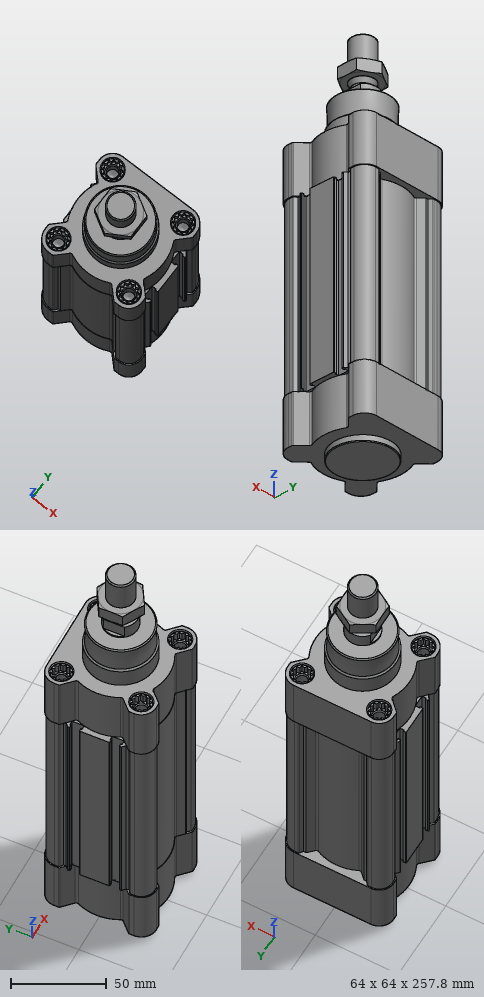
import cadquery as cq
import math


body_length = 186.0
cap_length = 33.0
tube_length = body_length - 2 * cap_length
spigot_length = 4.0
rod_top = 67.8
thread_length = 32.0
thread_bottom = rod_top - thread_length
nut_height = 8.0
nut_setback = 18.0
nut_top = rod_top - nut_setback
guide_height = 11.2
collar_top = 27.4
flat_bottom = 28.3

cap_width = 64.0
screw_spacing = 46.5
cap_half = cap_width / 2
boss_radius = (cap_width - screw_spacing) / 2
barrel_radius = 28.25
boss_flat_end = 20.2
boss_edge_fillet = 1.0
barrel_fillet = 1.5

recess_mouth_diameter = 13.2
recess_diameter = 12.0
socket_root_diameter = 11.45
socket_tip_diameter = 9.0
socket_teeth = 12
thread_mouth_diameter = 8.0
thread_core_diameter = 6.65
recess_mouth_depth = (recess_mouth_diameter - recess_diameter) / 2
recess_depth = 1.0
socket_depth = 6.0
screw_thread_depth = 16.0
drill_point_angle = 118.0

tube_half = 31.3
tube_boss_radius = tube_half - screw_spacing / 2
tube_setback = 0.2
tube_barrel_radius = barrel_radius - tube_setback
ledge_outer = 20.6
ledge_inner = 19.0
ledge_end = 17.4
ledge_level = 29.1
tube_boss_fillet = 0.8
lip_edge = 15.6
slot_center = 11.65
slot_opening = 5.5
slot_inner_width = 7.0
slot_lip = 1.8
slot_chamfer = 0.4
slot_floor = 27.0

guide_diameter = 40.0
guide_chamfer = 1.0
collar_diameter = 38.0
collar_waist = 0.4
collar_chamfer = 0.75
spigot_chamfer = 0.5

rod_diameter = 20.0
rod_flat_width = 16.0
thread_diameter = 16.0
thread_tip_diameter = 14.38
neck_diameter = 13.2
neck_foot_diameter = 14.6
neck_setback = 26.2
neck_cone_length = 3.2
neck_cone_top = rod_top - neck_setback
neck_cone_bottom = neck_cone_top - neck_cone_length
nut_width = 24.0
nut_chamfer_angle = 13.0


def prism(points, length):
    return cq.Workplane("XY").polyline(points).close().extrude(length)


def turned(shape, angle):
    return shape.rotate((0, 0, 0), (0, 0, 1), angle)


def rounded_square(half, corner_radius, length):
    block = cq.Workplane("XY").rect(2 * half, 2 * half).extrude(length)
    return block.edges("|Z").fillet(corner_radius)


def barrel_recess(right_side, radius, length):
    """Space between two bosses on the -Y side, outside the round barrel.

    The last point of right_side starts a 45 degree diagonal, which runs to the middle plane.
    """
    last_x, last_y = right_side[-1]
    right_half = right_side + [(0, last_y + last_x)]
    left_half = [(-x, y) for x, y in reversed(right_side)]
    barrel = cq.Workplane("XY").circle(radius).extrude(length)
    recess = prism(right_half + left_half, length).cut(barrel)
    barrel_corners = recess.edges("|Z").filter(lambda edge: edge.Center().y > -radius)
    return barrel_corners.fillet(barrel_fillet)


def fillet_boss_edges(shape, half, flat_end, radius):
    """Rounds the upright edges where the flat boss faces end."""

    def is_flat_end(edge):
        center = edge.Center()
        across, out = sorted((abs(center.x), abs(center.y)))
        return math.isclose(across, flat_end) and math.isclose(out, half)

    return shape.edges("|Z").filter(is_flat_end).fillet(radius)


def end_cap():
    """Square cap, flat on +Y and recessed between its bosses on the other three sides."""
    cap = rounded_square(cap_half, boss_radius, cap_length)
    recess = barrel_recess([(boss_flat_end, -cap_half)], barrel_radius, cap_length)
    for angle in (-90, 0, 90):
        cap = cap.cut(turned(recess, angle))
    return fillet_boss_edges(cap, cap_half, boss_flat_end, boss_edge_fillet)


def sensor_slot():
    """T-slot for sensors, on the right half of the -Y side."""
    lip_bottom = tube_half - slot_lip
    right_half = [
        (slot_opening / 2 + slot_chamfer, -tube_half),
        (slot_opening / 2, -tube_half + slot_chamfer),
        (slot_opening / 2, -lip_bottom),
        (slot_inner_width / 2, -lip_bottom),
        (slot_inner_width / 2, -slot_floor),
    ]
    left_half = [(-x, y) for x, y in reversed(right_half)]
    return prism(right_half + left_half, tube_length).translate((slot_center, 0, 0))


def tube():
    """Profile with a round barrel on the Y sides, and grooves and sensor slots on the X sides."""
    body = rounded_square(tube_half, tube_boss_radius, tube_length)
    boss_side = [(ledge_outer, -tube_half), (ledge_inner, -ledge_level)]
    recess = barrel_recess(boss_side + [(ledge_end, -ledge_level)], tube_barrel_radius, tube_length)
    for angle in (0, 180):
        body = body.cut(turned(recess, angle))

    lip_foot_level = tube_half - (ledge_end - lip_edge)
    groove = prism(boss_side + [(ledge_end, -lip_foot_level), (lip_edge, -tube_half)], tube_length)
    for cutter in (groove, sensor_slot()):
        for angle in (-90, 90):
            side_cutter = turned(cutter, angle)
            body = body.cut(side_cutter).cut(side_cutter.mirror("XZ"))
    return fillet_boss_edges(body, tube_half, ledge_outer, tube_boss_fillet)


def guide_and_collar():
    """Round guide with a slightly waisted collar, rooted inside the upper cap."""
    guide_radius = guide_diameter / 2
    collar_radius = collar_diameter / 2
    collar_bottom = guide_height + guide_chamfer
    collar_edge = collar_top - collar_chamfer
    profile = (
        cq.Workplane("XZ")
        .moveTo(0, -cap_length / 2)
        .lineTo(guide_radius, -cap_length / 2)
        .lineTo(guide_radius, guide_height)
        .lineTo(guide_radius - guide_chamfer, collar_bottom)
        .threePointArc(
            (collar_radius - collar_waist, (collar_bottom + collar_edge) / 2),
            (collar_radius, collar_edge),
        )
        .lineTo(collar_radius - collar_chamfer, collar_top)
        .lineTo(0, collar_top)
        .close()
    )
    return profile.revolve(360, (0, 0, 0), (0, 1, 0))


def tooth_point(step):
    """Corner of the toothed socket; even steps are roots and odd steps are tooth tips."""
    radius = (socket_tip_diameter if step % 2 else socket_root_diameter) / 2
    angle = math.pi * step / socket_teeth
    return (radius * math.cos(angle), radius * math.sin(angle))


def screw_recess():
    """Screw recess with a toothed socket and a drilled thread hole, cut down from z = 0."""
    core_radius = thread_core_diameter / 2
    mouth_radius = thread_mouth_diameter / 2
    point_depth = core_radius / math.tan(math.radians(drill_point_angle / 2))
    points = [
        (0, 0),
        (recess_mouth_diameter / 2, 0),
        (recess_diameter / 2, -recess_mouth_depth),
        (recess_diameter / 2, -recess_depth),
        (mouth_radius, -recess_depth),
        (mouth_radius, -socket_depth),
        (core_radius, -socket_depth - (mouth_radius - core_radius)),
        (core_radius, -screw_thread_depth),
        (0, -screw_thread_depth - point_depth),
    ]
    bore = cq.Workplane("XZ").polyline(points).close().revolve(360, (0, 0, 0), (0, 1, 0))
    socket = prism([tooth_point(step) for step in range(2 * socket_teeth)], socket_depth)
    return bore.union(socket.translate((0, 0, -socket_depth)))


def make_housing():
    """Caps, tube, collar and spigot in one solid, with screw recesses and a blind rod bore."""
    housing = tube().translate((0, 0, -cap_length - tube_length))
    for cap_bottom in (-cap_length, -body_length):
        housing = housing.union(end_cap().translate((0, 0, cap_bottom)))
    housing = housing.union(guide_and_collar())
    spigot = cq.Workplane("XY").workplane(offset=-body_length - spigot_length)
    spigot = spigot.circle(guide_diameter / 2).extrude(spigot_length)
    housing = housing.union(spigot.faces("<Z").chamfer(spigot_chamfer))
    for x in (-screw_spacing / 2, screw_spacing / 2):
        for y in (-screw_spacing / 2, screw_spacing / 2):
            housing = housing.cut(screw_recess().translate((x, y, 0)))
    rod_bore = cq.Workplane("XY").workplane(offset=-cap_length).circle(rod_diameter / 2)
    return housing.cut(rod_bore.extrude(cap_length + collar_top))


def make_rod():
    """Piston rod with wrench flats, a neck and a plain threaded end."""
    rod_radius = rod_diameter / 2
    thread_radius = thread_diameter / 2
    tip_radius = thread_tip_diameter / 2
    neck_radius = neck_diameter / 2
    foot_radius = neck_foot_diameter / 2
    points = [
        (0, -cap_length),
        (rod_radius, -cap_length),
        (rod_radius, thread_bottom),
        (foot_radius, thread_bottom),
        (neck_radius, thread_bottom + foot_radius - neck_radius),
        (neck_radius, neck_cone_bottom),
        (thread_radius, neck_cone_top),
        (thread_radius, rod_top - (thread_radius - tip_radius)),
        (tip_radius, rod_top),
        (0, rod_top),
    ]
    rod = cq.Workplane("XZ").polyline(points).close().revolve(360, (0, 0, 0), (0, 1, 0))
    flat_depth = rod_radius - rod_flat_width / 2
    for side in (-1, 1):
        flat = cq.Workplane("XY").workplane(offset=flat_bottom)
        flat = flat.center(side * (rod_flat_width + flat_depth) / 2, 0)
        rod = rod.cut(flat.rect(flat_depth, rod_diameter).extrude(thread_bottom - flat_bottom))
    return rod


def make_nut():
    """Hexagon nut with two flats square to X and chamfered corners."""
    corner_radius = nut_width / 2 / math.cos(math.radians(30))
    hexagon = cq.Workplane("XY").polygon(6, 2 * corner_radius).extrude(nut_height)
    hexagon = turned(hexagon, 30)
    chamfer_height = (corner_radius - nut_width / 2) * math.tan(math.radians(nut_chamfer_angle))
    points = [
        (0, 0),
        (nut_width / 2, 0),
        (corner_radius, chamfer_height),
        (corner_radius, nut_height - chamfer_height),
        (nut_width / 2, nut_height),
        (0, nut_height),
    ]
    envelope = cq.Workplane("XZ").polyline(points).close().revolve(360, (0, 0, 0), (0, 1, 0))
    bore = cq.Workplane("XY").circle(thread_diameter / 2).extrude(nut_height)
    return hexagon.intersect(envelope).cut(bore).translate((0, 0, nut_top - nut_height))


housing = make_housing()
rod = make_rod()
nut = make_nut()

result = cq.Compound.makeCompound([housing.val(), rod.val(), nut.val()])